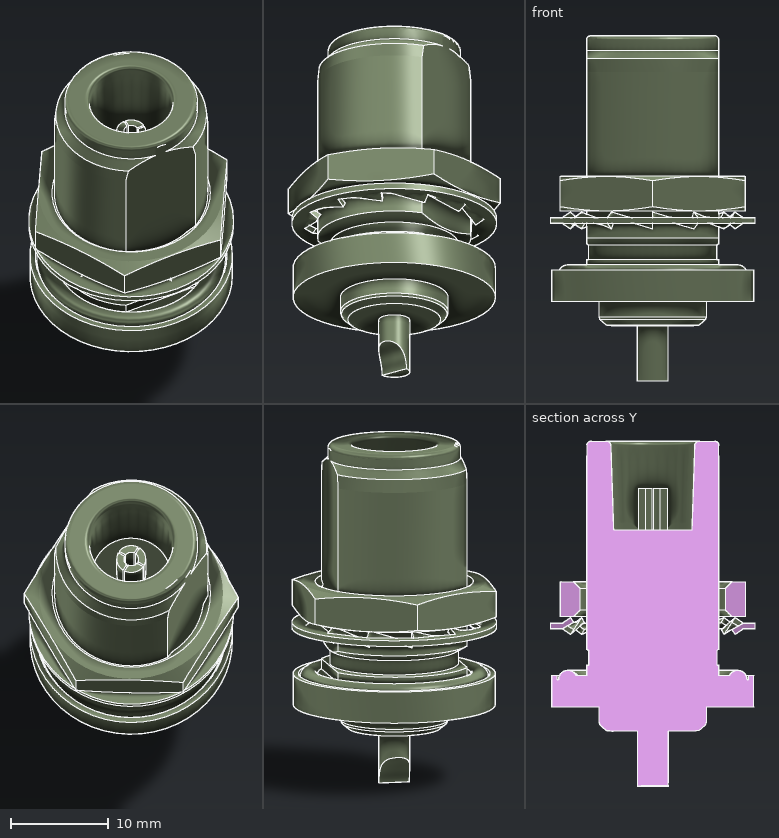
import cadquery as cq
import math

total_height = 35.4
barrel_radius = 7.85
neck_radius = 6.8
flat_neck_bite = 0.025
flat_half_width = neck_radius - flat_neck_bite
rim_fillet = 0.5
neck_bottom = 33.88
lead_cone_radius = 7.7
lead_cone_bottom = 33.03
barrel_top = 31.65

groove_radius = 6.6
groove_bottom = 12.45
groove_top = 13.95
groove_cone_angle = 30.0
groove_cone_rise = (barrel_radius - groove_radius) * math.tan(math.radians(groove_cone_angle))
groove_cone_top = groove_top + groove_cone_rise

flange_radius = 10.37
flange_bottom = 8.15
flange_top = 11.4

boss_radius = 5.52
boss_bottom = 5.65
boss_side_bottom = 6.6
boss_shoulder_radius = 5.4
boss_shoulder_height = 6.3
boss_chamfer_radius = 4.75
boss_chamfer_bottom = 5.75
boss_end_radius = 4.07

seal_radius = 8.7
seal_section_radius = 0.95
seal_top = 11.93
seal_center_height = seal_top - seal_section_radius
seal_recess_radius = 9.8

socket_floor_radius = 4.0
socket_mouth_radius = 4.3
socket_mouth_fillet = 0.5
socket_depth = 9.1
contact_radius = 1.5
contact_bore_radius = 0.75
contact_height = 4.25
contact_slot_width = 0.18

pin_radius = 1.6
pin_cut_radius = 3.45

nut_across_flats = 19.0
nut_bottom = 17.4
nut_height = 3.58
nut_face_radius = 9.4
nut_bore_radius = 7.45
nut_bore_mouth_radius = 8.1
nut_corner_chamfer_height = 0.45

washer_diameter = 21.0
washer_gap = 0.09
washer_thickness = 0.6
tooth_count = 12
tooth_root_radius = 9.27
tooth_tip_radius = 8.43
tooth_rise = 0.55
washer_middle = nut_bottom - washer_gap - tooth_rise - washer_thickness / 2

ARC_MIDDLE_INSET = 1 - math.sqrt(0.5)


def revolve_profile(profile):
    """Turn a closed (radius, height) profile around the Z axis."""
    return profile.close().revolve(360, (0, 0, 0), (0, 1, 0))


def make_housing_outside():
    arc_inset = rim_fillet * ARC_MIDDLE_INSET
    body = revolve_profile(
        cq.Workplane("XZ")
        .moveTo(0, boss_bottom)
        .lineTo(boss_end_radius, boss_bottom)
        .lineTo(boss_chamfer_radius, boss_chamfer_bottom)
        .lineTo(boss_shoulder_radius, boss_shoulder_height)
        .lineTo(boss_radius, boss_side_bottom)
        .lineTo(boss_radius, flange_bottom)
        .lineTo(flange_radius, flange_bottom)
        .lineTo(flange_radius, flange_top)
        .lineTo(barrel_radius, flange_top)
        .lineTo(barrel_radius, groove_bottom)
        .lineTo(groove_radius, groove_bottom)
        .lineTo(groove_radius, groove_top)
        .lineTo(barrel_radius, groove_cone_top)
        .lineTo(barrel_radius, barrel_top)
        .lineTo(lead_cone_radius, lead_cone_bottom)
        .lineTo(neck_radius, neck_bottom)
        .lineTo(neck_radius, total_height - rim_fillet)
        .threePointArc(
            (neck_radius - arc_inset, total_height - arc_inset),
            (neck_radius - rim_fillet, total_height),
        )
        .lineTo(0, total_height)
    )
    flat_height = total_height - flange_top
    for side in (-1, 1):
        flat_cut = cq.Workplane("XY").box(
            barrel_radius, 3 * barrel_radius, flat_height, centered=(True, True, False)
        ).translate((side * (flat_half_width + barrel_radius / 2), 0, flange_top))
        body = body.cut(flat_cut)
    return body


def make_seal_recess():
    return (
        cq.Workplane("XY", origin=(0, 0, seal_center_height))
        .circle(seal_recess_radius)
        .circle(seal_radius)
        .extrude(flange_top - seal_center_height)
    )


def make_seal_ring():
    return (
        cq.Workplane("XZ")
        .center(seal_radius, seal_center_height)
        .circle(seal_section_radius)
        .revolve(360, (-seal_radius, 0, 0), (-seal_radius, 1, 0))
    )


def make_socket():
    floor = total_height - socket_depth
    arc_inset = socket_mouth_fillet * ARC_MIDDLE_INSET
    return revolve_profile(
        cq.Workplane("XZ")
        .moveTo(0, floor)
        .lineTo(socket_floor_radius, floor)
        .lineTo(socket_mouth_radius, total_height - socket_mouth_fillet)
        .threePointArc(
            (socket_mouth_radius + arc_inset, total_height - arc_inset),
            (socket_mouth_radius + socket_mouth_fillet, total_height),
        )
        .lineTo(0, total_height)
    )


def make_contact():
    floor = total_height - socket_depth
    contact = (
        cq.Workplane("XY", origin=(0, 0, floor))
        .circle(contact_radius)
        .circle(contact_bore_radius)
        .extrude(contact_height)
    )
    for angle in (0, 90):
        slot = (
            cq.Workplane("XY", origin=(0, 0, floor))
            .transformed(rotate=(0, 0, angle))
            .rect(2 * contact_radius, contact_slot_width)
            .extrude(contact_height)
        )
        contact = contact.cut(slot)
    return contact


def make_solder_pin():
    pin = cq.Workplane("XY").circle(pin_radius).extrude(boss_bottom)
    scoop = (
        cq.Workplane("YZ")
        .center(pin_cut_radius, 0)
        .circle(pin_cut_radius)
        .extrude(pin_radius, both=True)
    )
    return pin.cut(scoop)


def make_housing():
    return (
        make_housing_outside()
        .cut(make_seal_recess())
        .union(make_seal_ring())
        .cut(make_socket())
        .union(make_contact())
        .union(make_solder_pin())
    )


def make_nut(threaded_part):
    """Hexagon nut whose thread bore is cleared to fit the barrel and its flats."""
    corner_radius = nut_across_flats / math.sqrt(3)
    nut_top = nut_bottom + nut_height
    mouth_depth = nut_bore_mouth_radius - nut_bore_radius
    hexagon = (
        cq.Workplane("XY", origin=(0, 0, nut_bottom))
        .transformed(rotate=(0, 0, 90))
        .polygon(6, 2 * corner_radius)
        .extrude(nut_height)
    )
    turned_blank = revolve_profile(
        cq.Workplane("XZ")
        .moveTo(nut_bore_mouth_radius, nut_bottom)
        .lineTo(nut_face_radius, nut_bottom)
        .lineTo(corner_radius, nut_bottom + nut_corner_chamfer_height)
        .lineTo(corner_radius, nut_top - nut_corner_chamfer_height)
        .lineTo(nut_face_radius, nut_top)
        .lineTo(nut_bore_mouth_radius, nut_top)
        .lineTo(nut_bore_radius, nut_top - mouth_depth)
        .lineTo(nut_bore_radius, nut_bottom + mouth_depth)
    )
    return hexagon.intersect(turned_blank).cut(threaded_part)


def make_tooth():
    """Twisted tooth: a strip bent up at its first end and down at its second."""
    half = washer_thickness / 2
    bend = math.atan2(tooth_rise, tooth_root_radius - tooth_tip_radius)
    under_radius = tooth_tip_radius - washer_thickness * math.sin(bend)
    under_height = half + tooth_rise - washer_thickness * math.cos(bend)
    bent_up = [
        (tooth_root_radius, half),
        (tooth_tip_radius, half + tooth_rise),
        (under_radius, under_height),
        (tooth_root_radius, -half),
    ]
    bent_down = [(radius, -height) for radius, height in reversed(bent_up)]

    def end_wire(section, angle):
        points = [
            cq.Vector(radius * math.cos(angle), radius * math.sin(angle), washer_middle + height)
            for radius, height in section
        ]
        return cq.Wire.makePolygon(points, close=True)

    first_end = end_wire(bent_up, 0)
    second_end = end_wire(bent_down, 2 * math.pi / tooth_count)
    faces = [cq.Face.makeFromWires(first_end), cq.Face.makeFromWires(second_end)]
    for first_edge, second_edge in zip(first_end.Edges(), second_end.Edges()):
        faces.append(cq.Face.makeRuledSurface(first_edge, second_edge))
    tooth = cq.Solid.makeSolid(cq.Shell.makeShell(faces)).fix()
    return cq.Workplane(tooth)


def make_washer():
    washer = (
        cq.Workplane("XY", origin=(0, 0, washer_middle - washer_thickness / 2))
        .circle(washer_diameter / 2)
        .polygon(tooth_count, 2 * tooth_root_radius)
        .extrude(washer_thickness)
    )
    tooth = make_tooth()
    for index in range(tooth_count):
        washer = washer.union(tooth.rotate((0, 0, 0), (0, 0, 1), index * 360 / tooth_count))
    return washer


housing = make_housing()
nut = make_nut(housing)
washer = make_washer()

result = cq.Compound.makeCompound(
    [housing.solids().val(), nut.solids().val(), washer.solids().val()]
)